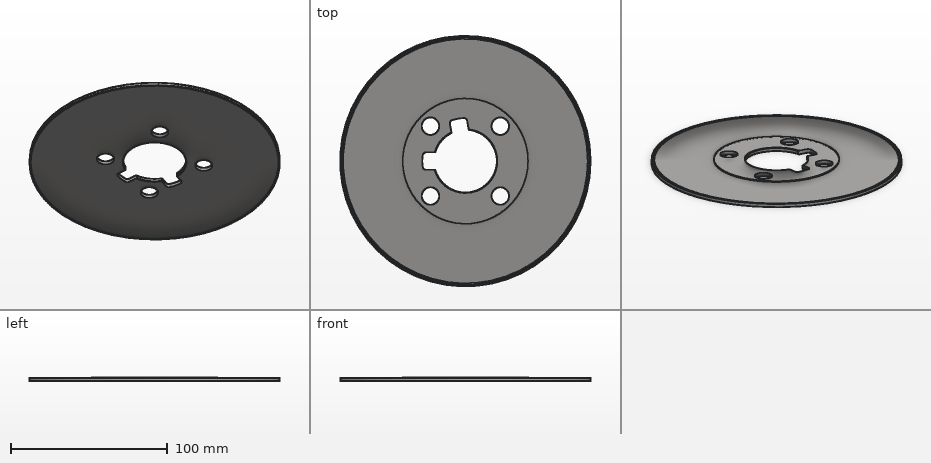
import cadquery as cq
import math

rim_diameter = 160.0
total_thickness = 2.65
core_diameter = 158.05
core_thickness = 2.0

lip_inner_diameter = 156.0
lip_rise = 0.13
wall_lean = 9.0

hub_diameter = 80.0

bore_diameter = 40.0
bore_chamfer = 0.4
slot_width = 11.0
slot_end_diameter = 54.8
slot_corner_radius = 2.0
slot_angles = (100.0, 180.0)

bolt_hole_diameter = 11.02
bolt_circle_diameter = 63.0
bolt_hole_count = 4
first_bolt_angle = 45.0

rim_radius = rim_diameter / 2
core_radius = core_diameter / 2
bore_radius = bore_diameter / 2
lip_inner_radius = lip_inner_diameter / 2
rim_height = core_thickness + lip_rise

wall_arc_radius = rim_height / math.sin(math.radians(wall_lean))


def make_slot(angle):
    """Key slot cutter with a rounded end concentric with the bore."""
    end_radius = slot_end_diameter / 2
    half_width = slot_width / 2
    corner_x = math.sqrt(end_radius**2 - half_width**2)
    slot = (
        cq.Workplane("XY")
        .moveTo(0, -half_width)
        .lineTo(corner_x, -half_width)
        .threePointArc((end_radius, 0), (corner_x, half_width))
        .lineTo(0, half_width)
        .close()
        .extrude(total_thickness)
        .edges("|Z")
        .edges(">X")
        .fillet(slot_corner_radius)
    )
    return slot.rotate((0, 0, 0), (0, 0, 1), angle)


def make_core():
    """Disc with its raised hub, chamfered bore, key slots and bolt holes."""
    core = (
        cq.Workplane("XZ")
        .moveTo(core_radius, 0)
        .lineTo(core_radius, core_thickness)
        .lineTo(hub_diameter / 2, core_thickness)
        .lineTo(hub_diameter / 2, total_thickness)
        .lineTo(bore_radius + bore_chamfer, total_thickness)
        .lineTo(bore_radius, total_thickness - bore_chamfer)
        .lineTo(bore_radius, bore_chamfer)
        .lineTo(bore_radius + bore_chamfer, 0)
        .close()
        .revolve(360, (0, 0), (0, 1))
    )
    for angle in slot_angles:
        core = core.cut(make_slot(angle))
    bolt_holes = (
        cq.Workplane("XY")
        .polarArray(bolt_circle_diameter / 2, first_bolt_angle, 360, bolt_hole_count)
        .circle(bolt_hole_diameter / 2)
        .extrude(total_thickness)
    )
    return core.cut(bolt_holes)


def wall_point(lean):
    """Point of the wall arc where the wall leans inward by the given angle."""
    angle = math.radians(lean)
    inset = wall_arc_radius * (1 - math.cos(angle))
    return (rim_radius - inset, wall_arc_radius * math.sin(angle))


def make_rim():
    """Ring around the core whose lip laps over the edge of the core's top face."""
    return (
        cq.Workplane("XZ")
        .moveTo(core_radius, 0)
        .lineTo(rim_radius, 0)
        .threePointArc(wall_point(wall_lean / 2), wall_point(wall_lean))
        .lineTo(lip_inner_radius, core_thickness)
        .lineTo(core_radius, core_thickness)
        .close()
        .revolve(360, (0, 0), (0, 1))
    )


core = make_core()
rim = make_rim()

result = cq.Compound.makeCompound([core.val(), rim.val()])